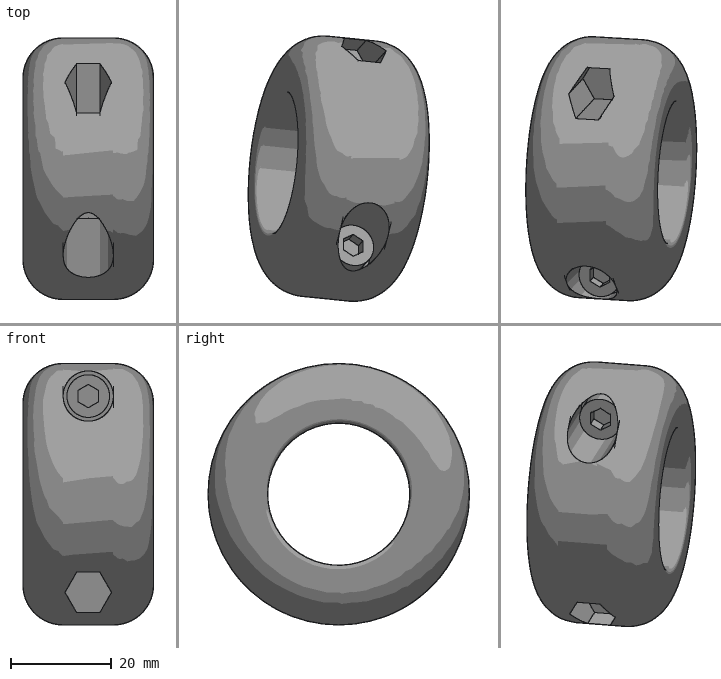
import cadquery as cq

outer_diameter = 52.0
width = 26.0
bore_diameter = 28.2
rim_radius = 8.0
bore_edge_radius = 1.0

screw_offset = 19.5
counterbore_diameter = 10.0
head_diameter = 8.5
head_height = 5.0
head_top = 9.9
counterbore_floor = head_top - head_height
socket_flats = 4.0
socket_depth = 3.0
nut_flats = 8.0
nut_floor = counterbore_floor

HEX_CORNER_RATIO = 2 / 3**0.5


def make_ring():
    end_plane = cq.Workplane("YZ", origin=(-width / 2, 0, 0))
    blank = end_plane.circle(outer_diameter / 2).extrude(width)
    blank = blank.edges("<X or >X").fillet(rim_radius)
    bore = end_plane.circle(bore_diameter / 2).extrude(width)
    ring = blank.cut(bore)
    bore_edges = cq.selectors.RadiusNthSelector(0)
    return ring.faces("<X or >X").edges(bore_edges).fillet(bore_edge_radius)


def screw_plane(y, outward):
    """Plane across the upper screw axis, facing outward along +Y or -Y."""
    return cq.Workplane(cq.Plane((0, y, screw_offset), (1, 0, 0), (0, outward, 0)))


def hexagon(plane, across_flats):
    return plane.polygon(6, across_flats * HEX_CORNER_RATIO)


def cut_screw_seat(body):
    """Cut the upper screw's counterbore, leave its head and cut the nut pocket."""
    reach = outer_diameter / 2
    counterbore = screw_plane(-counterbore_floor, -1).circle(counterbore_diameter / 2).extrude(reach)
    head = screw_plane(-counterbore_floor, -1).circle(head_diameter / 2).extrude(head_height)
    socket_plane = screw_plane(socket_depth - head_top, -1).transformed(rotate=(0, 0, 90))
    socket = hexagon(socket_plane, socket_flats).extrude(socket_depth)
    nut_pocket = hexagon(screw_plane(nut_floor, 1), nut_flats).extrude(reach)
    return body.cut(counterbore).union(head).cut(socket).cut(nut_pocket)


def half_turn(body):
    return body.rotate((0, 0, 0), (1, 0, 0), 180)


result = cut_screw_seat(half_turn(cut_screw_seat(make_ring()))).clean()